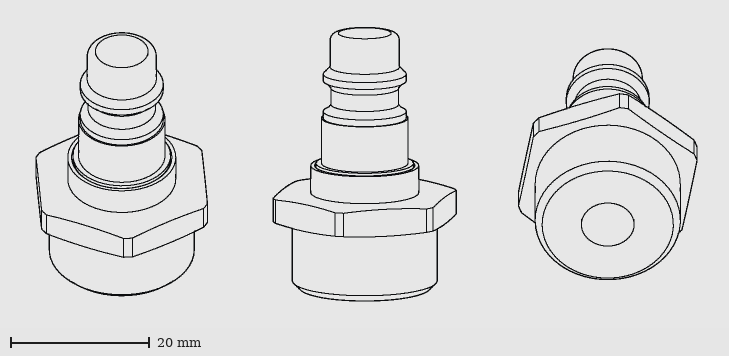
import cadquery as cq
import math

total_height = 37.5
hex_bottom = 10.0
hex_top = 14.02
collar_top = 18.0
ring_top = 18.35
body_top = 25.0
shoulder_top = 26.0
neck_bottom = 27.0
neck_top = 29.4
bead_bottom = 30.5
bead_top = 31.5
tip_bottom = 32.5

thread_diameter = 20.95
collar_diameter = 15.6
ring_diameter = 14.1
body_diameter = 12.5
bead_diameter = 12.0
neck_diameter = 9.75
tip_diameter = 10.0
bore_diameter = 7.6

thread_chamfer = 1.0
neck_flare_radius = 2.25
tip_rounding = 1.0

groove_width = 0.2
groove_depth = 0.2

across_flats = 24.0
across_corners = 27.0
hex_face_diameter = 23.85
hex_chamfer_angle = 10.0


def turned_body():
    """Stepped spigot, revolved around Z from its half outline; the neck flares out in concave arcs."""
    thread_radius = thread_diameter / 2
    collar_radius = collar_diameter / 2
    ring_radius = ring_diameter / 2
    body_radius = body_diameter / 2
    bead_radius = bead_diameter / 2
    neck_radius = neck_diameter / 2
    tip_radius = tip_diameter / 2
    return (
        cq.Workplane("XZ")
        .polyline([
            (0, 0),
            (thread_radius - thread_chamfer, 0),
            (thread_radius, thread_chamfer),
            (thread_radius, hex_bottom),
            (collar_radius, hex_bottom),
            (collar_radius, collar_top),
            (ring_radius + groove_width, collar_top),
            (ring_radius, collar_top - groove_depth),
            (ring_radius, ring_top),
            (body_radius, ring_top),
            (body_radius, body_top),
            (bead_radius, body_top),
            (bead_radius, shoulder_top),
        ])
        .radiusArc((neck_radius, neck_bottom), neck_flare_radius)
        .lineTo(neck_radius, neck_top)
        .radiusArc((bead_radius, bead_bottom), neck_flare_radius)
        .lineTo(bead_radius, bead_top)
        .lineTo(tip_radius, tip_bottom)
        .lineTo(tip_radius, total_height)
        .lineTo(0, total_height)
        .close()
        .revolve(360, (0, 0, 0), (0, 1, 0))
        .faces(">Z")
        .edges()
        .fillet(tip_rounding)
    )


def hexagon():
    """Hexagon with flats facing +X and -X, its corners turned round and chamfered at both ends."""
    face_radius = hex_face_diameter / 2
    corner_radius = across_corners / 2
    chamfer_height = (corner_radius - face_radius) * math.tan(math.radians(hex_chamfer_angle))
    prism = (
        cq.Workplane("XY", origin=(0, 0, hex_bottom))
        .polygon(6, across_flats, circumscribed=True)
        .extrude(hex_top - hex_bottom)
    )
    turned_blank = (
        cq.Workplane("XZ")
        .polyline([
            (0, hex_bottom),
            (face_radius, hex_bottom),
            (corner_radius, hex_bottom + chamfer_height),
            (corner_radius, hex_top - chamfer_height),
            (face_radius, hex_top),
            (0, hex_top),
        ])
        .close()
        .revolve(360, (0, 0, 0), (0, 1, 0))
    )
    return prism.intersect(turned_blank)


def bore():
    """Straight passage through the whole length."""
    return cq.Workplane("XY").circle(bore_diameter / 2).extrude(total_height)


result = turned_body().union(hexagon()).cut(bore())